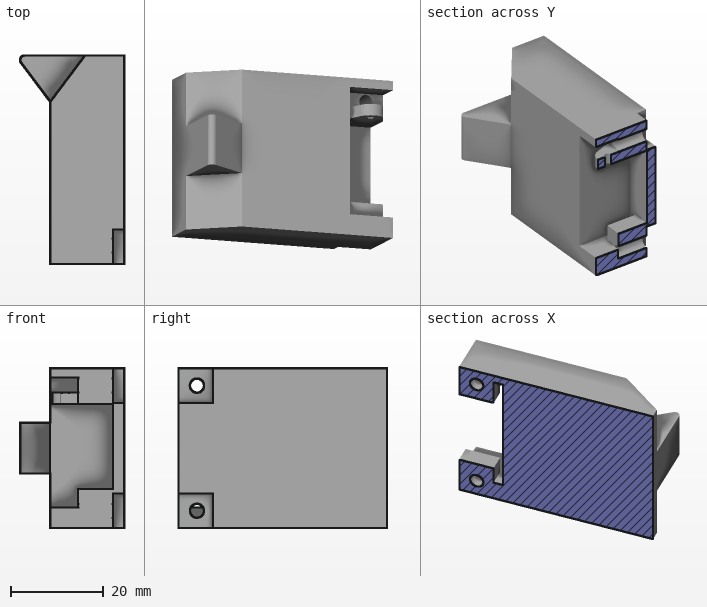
import cadquery as cq
import math

WIDTH = 16.0
LENGTH = 45.0
HEIGHT = 34.5

BEVEL_X = 7.5
BEVEL_Y = 10.0

LATCH_HEIGHT = 11.0
LATCH_TIP_RADIUS = 1.0

NOTCH_DEPTH = 2.5
NOTCH_SIZE = 7.5

POCKET_LENGTH = 10.0
POCKET_BOTTOM = 4.5
ROOF_THICKNESS = 2.0
POCKET_TOP = HEIGHT - ROOF_THICKNESS
POCKET_DEPTH = WIDTH - NOTCH_DEPTH

BLOCK_X = 6.0
BLOCK_LENGTH = 8.0
LOWER_BLOCK_TOP = 8.5
UPPER_BLOCK_BOTTOM = 26.75

SCREW_DIAMETER = 3.0
SCREW_Y = BLOCK_LENGTH / 2
SCREW_Z_LOW = NOTCH_SIZE / 2
SCREW_Z_HIGH = HEIGHT - NOTCH_SIZE / 2

EYE_X = 3.25
EYE_Y = BLOCK_LENGTH / 2
EYE_RADIUS = 2.75
EYE_THICKNESS = 2.5
EYE_HOLE_DIAMETER = 1.5


def box(x_range, y_range, z_range):
    """Axis-aligned box between the given limits."""
    (x0, x1), (y0, y1), (z0, z1) = x_range, y_range, z_range
    return cq.Workplane("XY").box(x1 - x0, y1 - y0, z1 - z0, centered=False).translate((x0, y0, z0))


def make_housing():
    """Plain block with one bevelled vertical edge."""
    outline = [
        (0, 0),
        (WIDTH, 0),
        (WIDTH, LENGTH),
        (BEVEL_X, LENGTH),
        (0, LENGTH - BEVEL_Y),
    ]
    return cq.Workplane("XY").polyline(outline).close().extrude(HEIGHT)


def make_latch():
    """Triangular wedge on the bevel, centred in height, with its tip rounded."""
    outline = [
        (BEVEL_X, LENGTH),
        (-BEVEL_X, LENGTH),
        (0, LENGTH - BEVEL_Y),
    ]
    wedge = (
        cq.Workplane("XY")
        .workplane(offset=(HEIGHT - LATCH_HEIGHT) / 2)
        .polyline(outline)
        .close()
        .extrude(LATCH_HEIGHT)
    )
    return wedge.edges("|Z and <X").fillet(LATCH_TIP_RADIUS)


def make_notch(bottom):
    """Cutter for a notch in the (+X, -Y) corner, starting at the given height."""
    return box((WIDTH - NOTCH_DEPTH, WIDTH), (0, NOTCH_SIZE), (bottom, bottom + NOTCH_SIZE))


def make_pocket():
    """Pocket cutter that leaves the lower and upper blocks standing."""
    pocket = box((0, POCKET_DEPTH), (0, POCKET_LENGTH), (POCKET_BOTTOM, POCKET_TOP))
    block_x = (BLOCK_X, POCKET_DEPTH)
    block_y = (0, BLOCK_LENGTH)
    lower_block = box(block_x, block_y, (POCKET_BOTTOM, LOWER_BLOCK_TOP))
    upper_block = box(block_x, block_y, (UPPER_BLOCK_BOTTOM, POCKET_TOP))
    return pocket.cut(lower_block).cut(upper_block)


def make_screw_hole(height):
    """Cutter for a hole along X from the block face out through the notch."""
    return (
        cq.Workplane("YZ", origin=(BLOCK_X, SCREW_Y, height))
        .circle(SCREW_DIAMETER / 2)
        .extrude(WIDTH - BLOCK_X)
    )


def make_eye():
    """Round-ended arm whose flanks run tangentially from the block corners to the eye."""
    reach = BLOCK_X - EYE_X
    corner_distance = math.hypot(reach, BLOCK_LENGTH / 2)
    corner_angle = math.atan2(BLOCK_LENGTH / 2, reach)
    tangent_angle = corner_angle + math.acos(EYE_RADIUS / corner_distance)
    tangent_x = EYE_X + EYE_RADIUS * math.cos(tangent_angle)
    tangent_offset = EYE_RADIUS * math.sin(tangent_angle)
    return (
        cq.Workplane("XY", origin=(0, 0, UPPER_BLOCK_BOTTOM))
        .moveTo(BLOCK_X, 0)
        .lineTo(tangent_x, EYE_Y - tangent_offset)
        .threePointArc((EYE_X - EYE_RADIUS, EYE_Y), (tangent_x, EYE_Y + tangent_offset))
        .lineTo(BLOCK_X, BLOCK_LENGTH)
        .close()
        .moveTo(EYE_X, EYE_Y)
        .circle(EYE_HOLE_DIAMETER / 2)
        .extrude(EYE_THICKNESS)
    )


result = make_housing().union(make_latch()).cut(make_pocket())

for notch_bottom in (0, HEIGHT - NOTCH_SIZE):
    result = result.cut(make_notch(notch_bottom))

for screw_height in (SCREW_Z_LOW, SCREW_Z_HIGH):
    result = result.cut(make_screw_hole(screw_height))

result = result.union(make_eye())